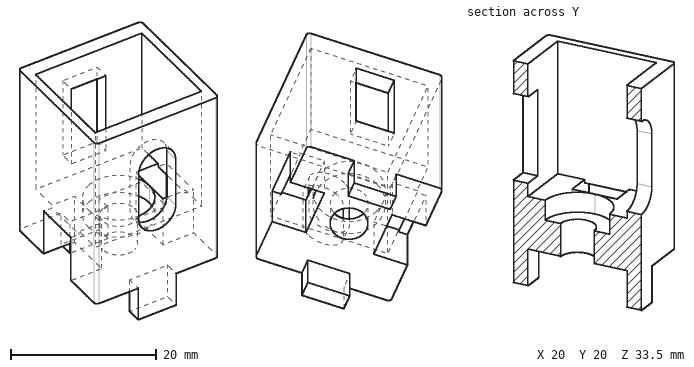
import cadquery as cq

body_side = 20.0
body_height = 28.0
corner_radius = 0.5

side_wall = 2.3
end_wall = 1.35
floor_thickness = 8.0

bore_diameter = 5.2
counterbore_diameter = 10.0
counterbore_depth = 3.0

notch_width = 7.0
notch_height = 7.5
notch_depth = (body_side - counterbore_diameter) / 2

leg_width = 6.2
leg_length = 5.5

opening_top = 23.0
window_width = 5.6
window_bottom = 10.0
slot_width = 6.0
slot_bottom = 9.0

wall_center = (body_side - side_wall) / 2


def box_on(x, y, z, size_x, size_y, size_z):
    """Box centred on (x, y) with its underside at height z."""
    box = cq.Workplane("XY").box(size_x, size_y, size_z, centered=(True, True, False))
    return box.translate((x, y, z))


def make_shell():
    """Open-topped housing with rounded upright corners and a thick floor."""
    outer = box_on(0, 0, 0, body_side, body_side, body_height).edges("|Z").fillet(corner_radius)
    cavity = box_on(
        0,
        0,
        floor_thickness,
        body_side - 2 * side_wall,
        body_side - 2 * end_wall,
        body_height - floor_thickness,
    )
    return outer.cut(cavity)


def add_legs(part):
    """One leg flush with the outside of each side wall."""
    for side in (-1, 1):
        part = part.union(box_on(side * wall_center, 0, -leg_length, side_wall, leg_width, leg_length))
    return part


def cut_notches(part):
    """Notch through each end wall, opening into a slot through the full floor thickness."""
    notch_center = (body_side - notch_depth) / 2
    slot_depth = notch_depth - end_wall
    slot_center = (counterbore_diameter + slot_depth) / 2
    for side in (-1, 1):
        notch = box_on(0, side * notch_center, 0, notch_width, notch_depth, notch_height)
        floor_slot = box_on(0, side * slot_center, 0, notch_width, slot_depth, floor_thickness)
        part = part.cut(notch).cut(floor_slot)
    return part


def cut_stepped_hole(part):
    """Through bore with a counterbore sunk into the top of the floor."""
    bore = cq.Workplane("XY").circle(bore_diameter / 2).extrude(floor_thickness)
    counterbore = (
        cq.Workplane("XY")
        .workplane(offset=floor_thickness - counterbore_depth)
        .circle(counterbore_diameter / 2)
        .extrude(counterbore_depth)
    )
    return part.cut(bore).cut(counterbore)


def cut_window(part):
    """Rectangular window in the -X wall."""
    height = opening_top - window_bottom
    return part.cut(box_on(-wall_center, 0, window_bottom, side_wall, window_width, height))


def cut_slot(part):
    """Upright round-ended slot in the +X wall."""
    slot = (
        cq.Workplane("YZ")
        .workplane(offset=body_side / 2 - side_wall)
        .center(0, (opening_top + slot_bottom) / 2)
        .slot2D(opening_top - slot_bottom, slot_width, 90)
        .extrude(side_wall)
    )
    return part.cut(slot)


result = make_shell()
result = add_legs(result)
result = cut_notches(result)
result = cut_stepped_hole(result)
result = cut_window(result)
result = cut_slot(result)